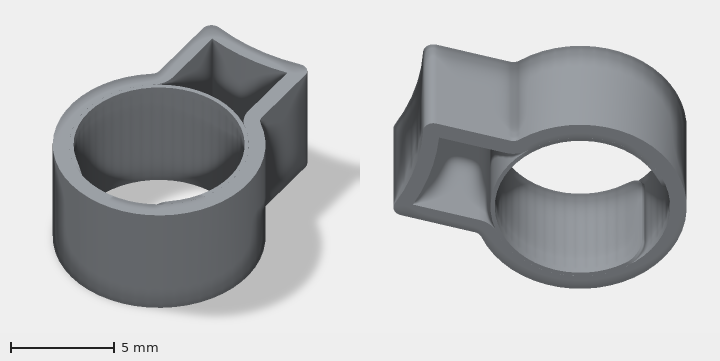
import cadquery as cq
import math

height = 6.0
total_length = 13.83
ring_outer_radius = 5.152
wall = 0.8
neck_half_width = 3.0
corner_radius = 0.5
root_radius = 0.5
end_curve_radius = 10.0
liner_thickness = 0.21
liner_gap_half_angle = 27.0
liner_corner_radius = 1.0

ring_inner_radius = ring_outer_radius - wall
neck_inner_half_width = neck_half_width - wall
neck_end_y = total_length - ring_outer_radius

root_x = neck_half_width + root_radius
root_y = math.sqrt((ring_outer_radius + root_radius) ** 2 - root_x ** 2)

corner_x = neck_half_width - corner_radius
corner_y = neck_end_y - corner_radius
end_curve_y = corner_y + math.sqrt((end_curve_radius + corner_radius) ** 2 - corner_x ** 2)


def mirrored(point):
    return (-point[0], point[1])


def neck_root(ring_radius, half_width):
    """Start, middle and end of the right-hand root arc, from the ring to the neck side."""
    fillet_radius = root_x - half_width
    ring_angle = math.atan2(root_y, root_x)
    middle_angle = math.pi + ring_angle / 2
    start = (ring_radius * math.cos(ring_angle), ring_radius * math.sin(ring_angle))
    middle = (
        root_x + fillet_radius * math.cos(middle_angle),
        root_y + fillet_radius * math.sin(middle_angle),
    )
    return start, middle, (half_width, root_y)


def outer_solid():
    root_start, root_middle, root_end = neck_root(ring_outer_radius, neck_half_width)
    side_end = (neck_half_width, corner_y)
    tangent_ratio = corner_radius / (corner_radius + end_curve_radius)
    curve_end = (
        corner_x * (1 - tangent_ratio),
        corner_y + (end_curve_y - corner_y) * tangent_ratio,
    )
    curve_middle = (0, end_curve_y - end_curve_radius)
    curve_angle = math.atan2(end_curve_y - corner_y, -corner_x)
    corner_middle = (
        corner_x + corner_radius * math.cos(curve_angle / 2),
        corner_y + corner_radius * math.sin(curve_angle / 2),
    )
    return (
        cq.Workplane("XY")
        .moveTo(*root_start)
        .threePointArc(root_middle, root_end)
        .lineTo(*side_end)
        .threePointArc(corner_middle, curve_end)
        .threePointArc(curve_middle, mirrored(curve_end))
        .threePointArc(mirrored(corner_middle), mirrored(side_end))
        .lineTo(*mirrored(root_end))
        .threePointArc(mirrored(root_middle), mirrored(root_start))
        .threePointArc((0, -ring_outer_radius), root_start)
        .close()
        .extrude(height)
    )


def inner_opening():
    root_start, root_middle, root_end = neck_root(ring_inner_radius, neck_inner_half_width)
    inner_curve_radius = end_curve_radius + wall
    side_end_y = end_curve_y - math.sqrt(inner_curve_radius ** 2 - neck_inner_half_width ** 2)
    side_end = (neck_inner_half_width, side_end_y)
    return (
        cq.Workplane("XY")
        .moveTo(*root_start)
        .threePointArc(root_middle, root_end)
        .lineTo(*side_end)
        .threePointArc((0, end_curve_y - inner_curve_radius), mirrored(side_end))
        .lineTo(*mirrored(root_end))
        .threePointArc(mirrored(root_middle), mirrored(root_start))
        .threePointArc((0, -ring_inner_radius), root_start)
        .close()
        .extrude(height)
    )


def make_housing():
    """Ring with a hollow neck, open at top and bottom."""
    return outer_solid().cut(inner_opening())


def make_liner():
    """Thin split sleeve inside the ring, with rounded corners at the split."""
    inner_radius = ring_inner_radius - liner_thickness
    gap_angle = math.radians(liner_gap_half_angle)

    def end_point(radius):
        return (radius * math.sin(gap_angle), -radius * math.cos(gap_angle))

    outer_end = end_point(ring_inner_radius)
    inner_end = end_point(inner_radius)
    sleeve = (
        cq.Workplane("XY")
        .moveTo(*outer_end)
        .threePointArc((0, ring_inner_radius), mirrored(outer_end))
        .lineTo(*mirrored(inner_end))
        .threePointArc((0, inner_radius), inner_end)
        .close()
        .extrude(height)
    )
    return sleeve.edges("%LINE").edges("#Z").fillet(liner_corner_radius)


housing = make_housing()
liner = make_liner()

result = cq.Compound.makeCompound([housing.val(), liner.val()])